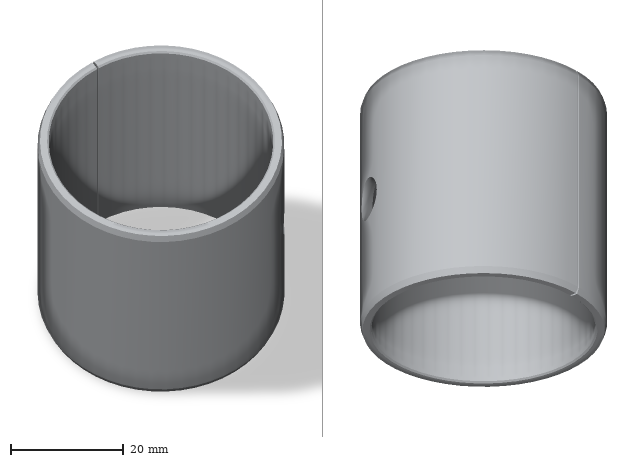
import cadquery as cq
import math

outer_diameter = 44.0
inner_diameter = 40.0
length = 45.0

outer_chamfer_height = 1.2
outer_chamfer_angle = 20.0
inner_chamfer = 0.3

split_angle = 1.0
split_start_angle = 180.0

oil_hole_diameter = 8.0
oil_hole_angle = 59.0

outer_radius = outer_diameter / 2
inner_radius = inner_diameter / 2
half_length = length / 2
outer_chamfer_depth = outer_chamfer_height * math.tan(math.radians(outer_chamfer_angle))


def rotate_about_axis(body, angle):
    """Turn a body about the bushing axis, from +X towards +Y."""
    return body.rotate((0, 0, 0), (0, 0, 1), angle)


def make_split_sleeve():
    """Revolve the chamfered wall section almost all the way round, leaving the split open."""
    wall_section = [
        (inner_radius, -half_length + inner_chamfer),
        (inner_radius + inner_chamfer, -half_length),
        (outer_radius - outer_chamfer_depth, -half_length),
        (outer_radius, -half_length + outer_chamfer_height),
        (outer_radius, half_length - outer_chamfer_height),
        (outer_radius - outer_chamfer_depth, half_length),
        (inner_radius + inner_chamfer, half_length),
        (inner_radius, half_length - inner_chamfer),
    ]
    sleeve = (
        cq.Workplane("XZ")
        .polyline(wall_section)
        .close()
        .revolve(360 - split_angle, (0, 0), (0, 1))
    )
    return rotate_about_axis(sleeve, split_start_angle)


def make_oil_hole_cutter():
    """Radial cylinder reaching from the axis out through one wall."""
    cutter = cq.Workplane("YZ").circle(oil_hole_diameter / 2).extrude(outer_diameter)
    return rotate_about_axis(cutter, oil_hole_angle)


result = make_split_sleeve().cut(make_oil_hole_cutter())